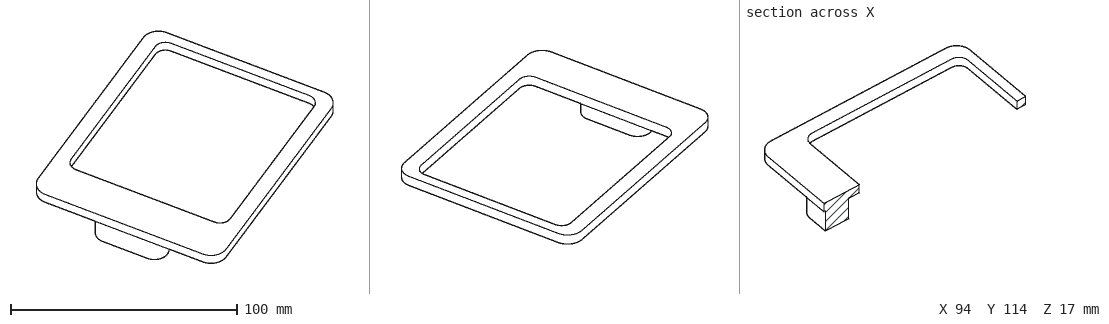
import cadquery as cq

plate_width = 94.0
plate_length = 114.0
plate_thickness = 5.0
plate_corner_radius = 7.6

side_border = 7.3
back_border = 5.0
front_border = 20.0
window_corner_radius = 5.1

total_height = 17.0
boss_height = total_height - plate_thickness
boss_length = 35.4
boss_width = 13.2
boss_front_gap = 0.9


def make_plate():
    """Rounded plate with its underside on Z = 0, centred on X and Y."""
    plate = cq.Workplane("XY").rect(plate_width, plate_length).extrude(plate_thickness)
    return plate.edges("|Z").fillet(plate_corner_radius)


def make_window():
    """Rounded cutter for the opening inside the frame."""
    window_width = plate_width - 2 * side_border
    window_length = plate_length - front_border - back_border
    window_center_y = (front_border - back_border) / 2
    window = (
        cq.Workplane("XY")
        .center(0, window_center_y)
        .rect(window_width, window_length)
        .extrude(plate_thickness)
    )
    return window.edges("|Z").fillet(window_corner_radius)


def make_boss():
    """Boss with semicircular ends, hanging from the plate's underside."""
    boss_center_y = -plate_length / 2 + boss_front_gap + boss_width / 2
    return (
        cq.Workplane("XY")
        .center(0, boss_center_y)
        .slot2D(boss_length, boss_width)
        .extrude(-boss_height)
    )


result = make_plate().cut(make_window()).union(make_boss())